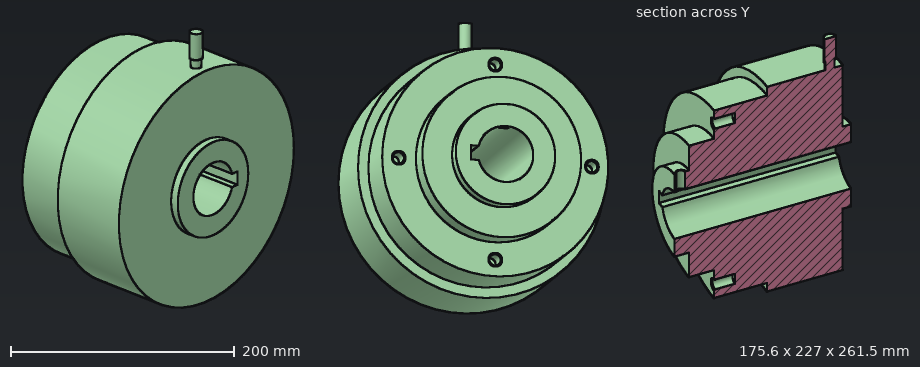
import cadquery as cq

hub_length, hub_diameter = 14.5, 91.5
collar_length, collar_diameter = 24.8, 146.0
flange_length, flange_diameter = 52.8, 208.0
drum_length, drum_diameter = 75.5, 227.0
tail_length = 8.0

bore_diameter = 51.0
key_width = 13.0
key_reach = 31.5

bolt_count = 4
bolt_circle_radius = 88.9
bolt_hole_diameter = 10.5
bolt_mouth_diameter = 12.5
bolt_hole_depth = 21.0

screw_x = 6.3
screw_diameter = 8.4
screw_mouth_diameter = 9.5

pin_x = 154.7
pin_neck_diameter = 9.7
pin_head_diameter = 12.0
pin_head_length = 25.5
total_height = 261.5
pin_height = total_height - drum_diameter / 2

body_length = hub_length + collar_length + flange_length + drum_length + tail_length
flange_face_x = hub_length + collar_length


def make_body():
    """Stack the coaxial steps along +X; the tail matches the hub."""
    steps = [
        (hub_length, hub_diameter),
        (collar_length, collar_diameter),
        (flange_length, flange_diameter),
        (drum_length, drum_diameter),
        (tail_length, hub_diameter),
    ]
    body = cq.Workplane("YZ")
    start = 0.0
    for length, diameter in steps:
        step = cq.Workplane("YZ").workplane(offset=start).circle(diameter / 2).extrude(length)
        body = body.union(step)
        start += length
    return body


def make_keyed_bore():
    bore = cq.Workplane("YZ").circle(bore_diameter / 2).extrude(body_length)
    keyway = (
        cq.Workplane("YZ").center(key_reach / 2, 0).rect(key_reach, key_width).extrude(body_length)
    )
    return bore.union(keyway)


def make_countersunk_hole(mouth, direction, diameter, mouth_diameter, depth):
    """Flat-bottomed hole with a 45 degree mouth, sunk from a point along a direction."""
    chamfer = (mouth_diameter - diameter) / 2
    hole = cq.Solid.makeCylinder(diameter / 2, depth, mouth, direction)
    cone = cq.Solid.makeCone(mouth_diameter / 2, diameter / 2, chamfer, mouth, direction)
    return hole.fuse(cone)


def make_bolt_holes():
    first_hole = make_countersunk_hole(
        cq.Vector(flange_face_x, 0, bolt_circle_radius),
        cq.Vector(1, 0, 0),
        bolt_hole_diameter,
        bolt_mouth_diameter,
        bolt_hole_depth,
    )
    holes = cq.Workplane("YZ")
    for index in range(bolt_count):
        angle = index * 360 / bolt_count
        turned = first_hole.rotate(cq.Vector(0, 0, 0), cq.Vector(1, 0, 0), angle)
        holes = holes.union(cq.Workplane(turned))
    return holes


def make_screw_hole():
    """Set screw hole running from the top of the hub down to the axis of the bore."""
    hub_radius = hub_diameter / 2
    hole = make_countersunk_hole(
        cq.Vector(screw_x, 0, hub_radius),
        cq.Vector(0, 0, -1),
        screw_diameter,
        screw_mouth_diameter,
        hub_radius,
    )
    return cq.Workplane(hole)


def make_pin():
    """Narrow neck rooted inside the drum, topped by a wider head."""
    root_z = flange_diameter / 2
    head_z = pin_height - pin_head_length
    neck = (
        cq.Workplane("XY", origin=(pin_x, 0, root_z))
        .circle(pin_neck_diameter / 2)
        .extrude(head_z - root_z)
    )
    head = (
        cq.Workplane("XY", origin=(pin_x, 0, head_z))
        .circle(pin_head_diameter / 2)
        .extrude(pin_head_length)
    )
    return neck.union(head)


result = (
    make_body()
    .cut(make_keyed_bore())
    .cut(make_bolt_holes())
    .cut(make_screw_hole())
    .union(make_pin())
)